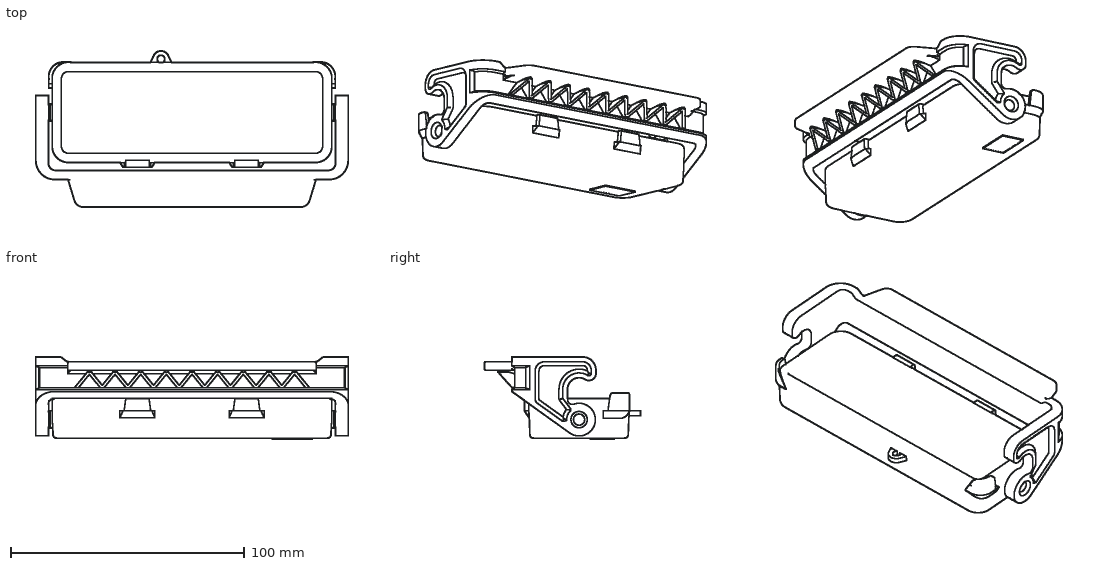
import cadquery as cq
import math

tray_length = 120.0
tray_width = 43.0
tray_corner_radius = 7.0
tray_wall_overlap = 1.5
tray_bottom = 0.4
tray_seam = 12.2
tray_top = 17.5
tray_draft = 2.0
base_fillet = 1.6
rim_outer_fillet = 1.55
rim_inner_fillet = 1.4
cavity_floor = 2.8
cavity_wall = 4.0
cavity_corner_radius = 3.0
cavity_draft = 4.5
floor_fillet = 0.3

pad_length = 17.0
pad_width = 10.3
pad_center = (43.0, 9.85)
pad_overlap = 0.1

ear_x = -13.3
ear_hole_y = 22.9
ear_hole_diameter = 3.2
ear_radius = 3.5
ear_base_width = 10.4
ear_flank_angle = 30.0
ear_thickness = 2.2

guard_x = 61.5
guard_y = 21.7
guard_radius = 6.5
guard_top = 19.9
guard_lip_bottom = 9.0
guard_end_x = 52.0
guard_end_y = 12.4
guard_lip_end_y = 10.4
guard_end_slant_x = 4.5
guard_end_slant_y = 1.0
guard_end_fillet = 1.5
guard_edge_fillet = 0.5
guard_lip_taper = 27.0

catch_x = 23.4
catch_reach = 2.0
catch_width = 11.4
catch_top_width = 10.0
catch_top = 17.4
catch_top_fillet = 0.9
catch_lip_width = 15.0
catch_lip_bottom = 9.2
catch_lip_bevel = 1.3

lever_length = 134.0
arm_thickness = 5.5
lever_top = 35.3
lever_front = -28.8
front_wall_thickness = 4.0
lever_outer_radius = 8.2
lever_inner_radius = 3.0
pivot_z = 8.4
hub_radius = 7.0
underside_angle = math.radians(35.6)
hook_center_z = 21.4
hook_radius = 4.9
hook_tip_y = 7.3
hook_tip_radius = 3.1
hook_back_radius = 5.8
neck_fillet = 2.0

pin_radius = 3.2
pin_collar_radius = 3.7
pin_collar_end = 60.7
pin_overlap = 0.5
hub_recess_radius = 3.5
hub_recess_floor_radius = 2.4
hub_recess_depth = 1.5

pocket_margin = 2.1
pocket_hub_radius = 5.3
pocket_hub_start = math.radians(128)
pocket_hub_end = math.radians(184)
pocket_low_reach = 1.6
pocket_front_y = -18.8
pocket_bottom_margin = 2.3
pocket_corner_radius = 4.0
pocket_front_low_radius = 2.0
pocket_hub_corner_radius = 0.6
pocket_depth = 1.8
pocket_taper = 42.0

plate_front = -40.6
plate_top = 33.3
plate_bottom = 29.5
plate_root_half = 53.2
plate_tip_half = 49.6
plate_corner_radius = 4.0
plate_edge_fillet = 0.8
notch_top_half = 56.2
notch_bottom_half = 53.7
notch_fillet = 1.5
notch_clearance = 1.0
skirt_reach = 3.6
skirt_bottom = 28.0

relief_depth = 1.3
relief_bottom = 22.1
relief_top = 30.6
relief_bevel = 0.8
relief_end_y = -21.2
relief_end_bevel = 1.6
rib_count = 9
rib_pitch = 11.0
rib_width = 1.3
rib_top_reach = 6.0
rib_top = 28.8
rib_overlap = 0.5

selection_gap = 0.1
half_length = tray_length / 2
half_width = tray_width / 2
arm_outer = lever_length / 2
arm_inner = arm_outer - arm_thickness
lever_wall_inner = lever_front + front_wall_thickness
pivot = (0.0, pivot_z)
hook_center = (0.0, hook_center_z)
tip_center_y = hook_tip_y - hook_tip_radius
tip_center = (
    tip_center_y,
    hook_center_z + math.sqrt((hook_radius + hook_tip_radius) ** 2 - tip_center_y**2),
)
throat_angle = math.atan2(tip_center[1] - hook_center_z, tip_center_y)
tip_end = throat_angle - math.pi
back_center = (hook_tip_y - hook_back_radius, lever_top - hook_back_radius)
underside_normal = -math.pi / 2 - underside_angle


def both_sides(shape):
    """The shape together with its mirror image across the YZ plane."""
    return shape.union(shape.mirror("YZ"))


def rounded_outline(length, width, radius):
    return cq.Sketch().rect(length, width).vertices().fillet(radius)


def rounded_block(length, width, radius, bottom, top):
    """Rounded rectangle centred on the origin, from `bottom` to `top`."""
    outline = rounded_outline(length, width, radius)
    return cq.Workplane("XY", origin=(0, 0, bottom)).placeSketch(outline).extrude(top - bottom)


def make_tray():
    tray_outline = rounded_outline(tray_length, tray_width, tray_corner_radius)
    at_seam = cq.Workplane("XY", origin=(0, 0, tray_seam)).placeSketch(tray_outline)
    lower = at_seam.extrude(tray_bottom - tray_seam, taper=tray_draft)
    lower = lower.faces("<Z").edges().fillet(base_fillet)
    collar = at_seam.extrude(tray_top - tray_seam)
    collar = collar.faces(">Z").edges().fillet(rim_outer_fillet)

    cavity_outline = rounded_outline(
        tray_length - 2 * cavity_wall, tray_width - 2 * cavity_wall, cavity_corner_radius
    )
    at_step = cq.Workplane("XY", origin=(0, 0, tray_seam)).placeSketch(cavity_outline)
    upper_cavity = at_step.extrude(tray_top - tray_seam)
    lower_cavity = at_step.extrude(cavity_floor - tray_seam, taper=cavity_draft)
    lower_cavity = lower_cavity.faces("<Z").edges().fillet(floor_fillet)
    tray = lower.union(collar).cut(upper_cavity).cut(lower_cavity)

    inset = rim_outer_fillet + selection_gap
    inside_rim = (half_length - inset, half_width - inset)
    inner_edges = cq.selectors.BoxSelector(
        (-inside_rim[0], -inside_rim[1], tray_top - selection_gap),
        (inside_rim[0], inside_rim[1], tray_top + selection_gap),
        boundingbox=True,
    )
    return tray.edges(inner_edges).fillet(rim_inner_fillet)


def make_pad():
    pad = cq.Workplane("XY").center(*pad_center).rect(pad_length, pad_width)
    return pad.extrude(tray_bottom + pad_overlap)


def make_ear():
    root_y = half_width - tray_wall_overlap
    side = math.radians(ear_flank_angle)
    tangent = (ear_radius * math.cos(side), ear_hole_y + ear_radius * math.sin(side))
    return (
        cq.Workplane("XY", origin=(ear_x, 0, tray_seam))
        .moveTo(-ear_base_width / 2, root_y)
        .lineTo(-tangent[0], tangent[1])
        .threePointArc((0, ear_hole_y + ear_radius), tangent)
        .lineTo(ear_base_width / 2, root_y)
        .close()
        .pushPoints([(0, ear_hole_y)])
        .circle(ear_hole_diameter / 2)
        .extrude(-ear_thickness)
    )


def make_guard():
    """Raised wall wrapped round the rear +X corner, with a tapered lip below it."""
    def leaning_end(plane, end, slant, length):
        """Block starting at `end` whose near face leans back and is rounded at the top."""
        prism = (
            cq.Workplane(plane)
            .polyline([
                (end, tray_seam),
                (end + slant, guard_top),
                (arm_outer, guard_top),
                (arm_outer, tray_seam),
            ])
            .close()
            .extrude(length)
        )
        return prism.faces(">Z").edges("<" + plane[0]).fillet(guard_end_fillet)

    wrap = rounded_block(2 * guard_x, 2 * guard_y, guard_radius, tray_seam, guard_top)
    wrap = wrap.faces(">Z").edges().fillet(guard_edge_fillet)
    wall = wrap.intersect(leaning_end("XZ", guard_end_x, guard_end_slant_x, -guard_x))
    wall = wall.intersect(leaning_end("YZ", guard_end_y, guard_end_slant_y, guard_x))

    lip = cq.Workplane("XY", origin=(0, 0, tray_seam))
    lip = lip.placeSketch(rounded_outline(2 * guard_x, 2 * guard_y, guard_radius))
    lip = lip.extrude(guard_lip_bottom - tray_seam, taper=guard_lip_taper)
    window = cq.Workplane("XY", origin=(guard_end_x, guard_lip_end_y, guard_lip_bottom))
    window = window.rect(guard_x, guard_y, centered=False).extrude(tray_seam - guard_lip_bottom)
    core = rounded_block(
        tray_length - 2 * tray_wall_overlap,
        tray_width - 2 * tray_wall_overlap,
        tray_corner_radius - tray_wall_overlap,
        guard_lip_bottom,
        tray_seam,
    )
    collar = rounded_block(tray_length, tray_width, tray_corner_radius, tray_seam, guard_top)
    return wall.cut(collar).union(lip.intersect(window).cut(core))


def make_catch(x):
    root_y = -half_width + tray_wall_overlap
    tip_y = -half_width - catch_reach
    upright = (
        cq.Workplane("XZ", origin=(x, root_y, 0))
        .polyline([
            (-catch_width / 2, tray_seam),
            (catch_width / 2, tray_seam),
            (catch_top_width / 2, catch_top),
            (-catch_top_width / 2, catch_top),
        ])
        .close()
        .extrude(root_y - tip_y)
    )
    upright = upright.faces(">Z").edges("<Y").fillet(catch_top_fillet)
    lip_plan = (
        cq.Workplane("XY", origin=(x, 0, catch_lip_bottom))
        .polyline([
            (-catch_lip_width / 2, root_y),
            (-catch_lip_width / 2, -half_width),
            (-catch_lip_width / 2 + catch_lip_bevel, tip_y),
            (catch_lip_width / 2 - catch_lip_bevel, tip_y),
            (catch_lip_width / 2, -half_width),
            (catch_lip_width / 2, root_y),
        ])
        .close()
        .extrude(tray_seam - catch_lip_bottom)
    )
    lip_side = (
        cq.Workplane("YZ", origin=(x, 0, 0))
        .polyline([
            (root_y, catch_lip_bottom),
            (-half_width, catch_lip_bottom),
            (tip_y, tray_seam),
            (root_y, tray_seam),
        ])
        .close()
        .extrude(catch_lip_width / 2, both=True)
    )
    return upright.union(lip_plan.intersect(lip_side))


def on_circle(center, radius, angle):
    return (center[0] + radius * math.cos(angle), center[1] + radius * math.sin(angle))


def underside_z(y, offset=0.0):
    """Height of the underside line (moved inwards by `offset`) at a given Y."""
    reach = hub_radius - offset
    return pivot_z - reach / math.cos(underside_angle) - y * math.tan(underside_angle)


def make_side_profile():
    """Hooked side outline of the lever, carried across its full length."""
    neck_center_y = -hook_radius + neck_fillet
    neck_center_z = pivot_z + math.sqrt((hub_radius + neck_fillet) ** 2 - neck_center_y**2)
    neck_center = (neck_center_y, neck_center_z)
    hub_angle = math.atan2(neck_center_z - pivot_z, neck_center_y)
    neck_end = hub_angle - math.pi
    return (
        cq.Workplane("YZ", origin=(-arm_outer, 0, 0))
        .moveTo(lever_front, lever_top)
        .lineTo(back_center[0], lever_top)
        .threePointArc(on_circle(back_center, hook_back_radius, math.pi / 4), (hook_tip_y, back_center[1]))
        .lineTo(hook_tip_y, tip_center[1])
        .threePointArc(
            on_circle(tip_center, hook_tip_radius, tip_end / 2),
            on_circle(tip_center, hook_tip_radius, tip_end),
        )
        .threePointArc(
            on_circle(hook_center, hook_radius, (throat_angle + math.pi) / 2),
            (-hook_radius, hook_center_z),
        )
        .lineTo(-hook_radius, neck_center_z)
        .threePointArc(
            on_circle(neck_center, neck_fillet, (neck_end - math.pi) / 2),
            on_circle(neck_center, neck_fillet, neck_end),
        )
        .threePointArc(on_circle(pivot, hub_radius, 0), on_circle(pivot, hub_radius, underside_normal))
        .lineTo(lever_front, underside_z(lever_front))
        .close()
        .extrude(lever_length)
    )


def make_lever_plan():
    """U-shaped plan of the lever: two arms joined by the front wall."""
    def plate(half, front, radius):
        depth = hook_tip_y - front
        block = cq.Workplane("XY").center(0, front + depth / 2).rect(2 * half, depth).extrude(lever_top)
        return block.edges("|Z and <Y").fillet(radius)

    outer = plate(arm_outer, lever_front, lever_outer_radius)
    return outer.cut(plate(arm_inner, lever_wall_inner, lever_inner_radius))


def cut_relief(lever):
    """Shallow band with sloping walls, wrapped round the front wall and both front corners."""
    bevel_angle = math.degrees(math.atan2(relief_depth, relief_bevel))
    core_half = arm_outer - relief_depth
    core_front = lever_front + relief_depth
    core_outline = rounded_outline(2 * core_half, -2 * core_front, lever_outer_radius - relief_depth)
    at_bottom = cq.Workplane("XY", origin=(0, 0, relief_bottom)).placeSketch(core_outline)
    at_top = cq.Workplane("XY", origin=(0, 0, relief_top)).placeSketch(core_outline)
    core = at_bottom.extrude(relief_top - relief_bottom)
    core = core.union(at_bottom.extrude(-relief_bevel, taper=-bevel_angle))
    core = core.union(at_top.extrude(relief_bevel, taper=-bevel_angle))
    band = (
        cq.Workplane("XY", origin=(0, 0, relief_bottom - relief_bevel))
        .polyline([
            (-arm_outer, lever_front),
            (-arm_outer, relief_end_y),
            (-core_half, relief_end_y - relief_end_bevel),
            (core_half, relief_end_y - relief_end_bevel),
            (arm_outer, relief_end_y),
            (arm_outer, lever_front),
        ])
        .close()
        .extrude(relief_top - relief_bottom + 2 * relief_bevel)
    )
    return lever.cut(band.cut(core))


def cut_notch(lever):
    """Lower the front wall to the plate height between the arms."""
    notch = (
        cq.Workplane("XZ", origin=(0, lever_wall_inner + notch_clearance, 0))
        .polyline([
            (-notch_top_half, lever_top),
            (notch_top_half, lever_top),
            (notch_bottom_half, plate_top),
            (-notch_bottom_half, plate_top),
        ])
        .close()
        .extrude(front_wall_thickness + 2 * notch_clearance)
    )
    notch = notch.edges("|Y and <Z").fillet(notch_fillet)
    lever = lever.cut(notch)
    for side in (-1, 1):
        shoulder = cq.selectors.NearestToPointSelector(
            (side * notch_top_half, lever_front + front_wall_thickness / 2, lever_top)
        )
        lever = lever.edges("|Y").edges(shoulder).fillet(notch_fillet)
    return lever


def make_plate():
    root_y = lever_wall_inner

    def plan(bottom, top):
        return (
            cq.Workplane("XY", origin=(0, 0, bottom))
            .polyline([
                (-plate_root_half, root_y),
                (-plate_root_half, lever_front),
                (-plate_tip_half, plate_front),
                (plate_tip_half, plate_front),
                (plate_root_half, lever_front),
                (plate_root_half, root_y),
            ])
            .close()
            .extrude(top - bottom)
        )

    plate = plan(plate_bottom, plate_top)
    plate = plate.edges("|Z and <Y").fillet(plate_corner_radius)
    plate = plate.faces("<Y").edges(">Z or <Z").fillet(plate_edge_fillet)
    wall_y = lever_front + relief_depth
    skirt = (
        cq.Workplane("YZ", origin=(-plate_root_half, 0, 0))
        .polyline([
            (root_y, plate_bottom),
            (lever_front - skirt_reach, plate_bottom),
            (wall_y, skirt_bottom),
            (root_y, skirt_bottom),
        ])
        .close()
        .extrude(2 * plate_root_half)
    )
    return plate.union(skirt.intersect(plan(skirt_bottom, plate_bottom)))


def make_ribs():
    """Zigzag stiffening ribs under the plate, trimmed to a sloping front edge."""
    root_y = lever_front + relief_depth + rib_overlap
    tip_y = lever_front - rib_top_reach
    rise = rib_top - relief_bottom
    run = rib_pitch / 2
    bar_length = math.hypot(run, rise) + rib_width
    bar_angle = math.degrees(math.atan2(rise, run))
    middle_z = (rib_top + relief_bottom) / 2
    ribs = cq.Workplane("XY")
    for index in range(rib_count):
        apex_x = (index - (rib_count - 1) / 2) * rib_pitch
        for side in (-1, 1):
            bar = (
                cq.Workplane("XZ", origin=(apex_x + side * run / 2, root_y, middle_z))
                .transformed(rotate=(0, 0, -side * bar_angle))
                .rect(bar_length, rib_width)
                .extrude(root_y - tip_y)
            )
            ribs = ribs.union(bar)
    reach = rib_count * rib_pitch
    wedge = (
        cq.Workplane("YZ", origin=(-reach, 0, 0))
        .polyline([
            (root_y, relief_bottom),
            (lever_front, relief_bottom),
            (tip_y, rib_top),
            (tip_y, plate_bottom),
            (root_y, plate_bottom),
        ])
        .close()
        .extrude(2 * reach)
    )
    return ribs.intersect(wedge)


def make_arm_pocket():
    """Tapered pocket following the hooked outline of the +X arm's outer face."""
    top_z = lever_top - pocket_margin
    throat_radius = hook_radius + pocket_margin
    tip_radius = hook_tip_radius - pocket_margin
    back_radius = hook_back_radius - pocket_margin
    neck_y = -throat_radius
    neck_z = pivot_z + hub_radius + pocket_margin
    hub_top = on_circle(pivot, pocket_hub_radius, pocket_hub_start)
    hub_low = on_circle(pivot, pocket_hub_radius, pocket_hub_end)
    hub_mid = on_circle(pivot, pocket_hub_radius, (pocket_hub_start + pocket_hub_end) / 2)
    low_y = hub_low[0] - pocket_low_reach
    outline = (
        cq.Workplane("YZ", origin=(arm_outer, 0, 0))
        .moveTo(pocket_front_y + pocket_corner_radius, top_z)
        .lineTo(back_center[0], top_z)
        .threePointArc(
            on_circle(back_center, back_radius, math.pi / 4),
            (back_center[0] + back_radius, back_center[1]),
        )
        .lineTo(tip_center[0] + tip_radius, tip_center[1])
        .threePointArc(
            on_circle(tip_center, tip_radius, tip_end / 2),
            on_circle(tip_center, tip_radius, tip_end),
        )
        .threePointArc(
            on_circle(hook_center, throat_radius, (throat_angle + math.pi) / 2),
            (neck_y, hook_center_z),
        )
        .lineTo(neck_y, neck_z)
        .lineTo(*hub_top)
        .threePointArc(hub_mid, hub_low)
        .lineTo(low_y, underside_z(low_y, pocket_bottom_margin))
        .lineTo(pocket_front_y, underside_z(pocket_front_y, pocket_bottom_margin))
        .lineTo(pocket_front_y, top_z - pocket_corner_radius)
        .threePointArc(
            on_circle(
                (pocket_front_y + pocket_corner_radius, top_z - pocket_corner_radius),
                pocket_corner_radius,
                3 * math.pi / 4,
            ),
            (pocket_front_y + pocket_corner_radius, top_z),
        )
        .close()
    )
    face = cq.Face.makeFromWires(outline.val())
    lower = [v for v in face.Vertices() if v.Z < hook_center_z - selection_gap]
    front_low = [v for v in lower if v.Y < pocket_front_y + selection_gap]
    face = face.fillet2D(pocket_front_low_radius, front_low)
    lower = [v for v in face.Vertices() if v.Z < hook_center_z - selection_gap]
    near_hub = [v for v in lower if v.Y > low_y - selection_gap]
    face = face.fillet2D(pocket_hub_corner_radius, near_hub)
    rounded = cq.Workplane("YZ", origin=(arm_outer, 0, 0)).add(face.outerWire()).toPending()
    return rounded.extrude(-pocket_depth, taper=pocket_taper)


def make_hub_recess():
    recess = cq.Workplane("YZ", origin=(arm_outer, 0, pivot_z)).circle(hub_recess_radius)
    return recess.workplane(offset=-hub_recess_depth).circle(hub_recess_floor_radius).loft()


def make_pin():
    """Short collared pin joining the tray's side wall to the lever arm."""
    start = half_length - tray_wall_overlap
    at_wall = cq.Workplane("YZ", origin=(start, 0, pivot_z))
    collar = at_wall.circle(pin_collar_radius).extrude(pin_collar_end - start)
    return collar.union(at_wall.circle(pin_radius).extrude(arm_inner - start + pin_overlap))


def make_lever():
    lever = make_side_profile().intersect(make_lever_plan())
    lever = cut_notch(cut_relief(lever))
    lever = lever.union(make_plate()).union(make_ribs())
    lever = lever.cut(both_sides(make_arm_pocket()))
    return lever.cut(both_sides(make_hub_recess()))


tray = make_tray().union(make_pad()).union(make_ear())
tray = tray.union(both_sides(make_guard()))
for side in (-1, 1):
    tray = tray.union(make_catch(side * catch_x))

result = tray.union(both_sides(make_pin())).union(make_lever())